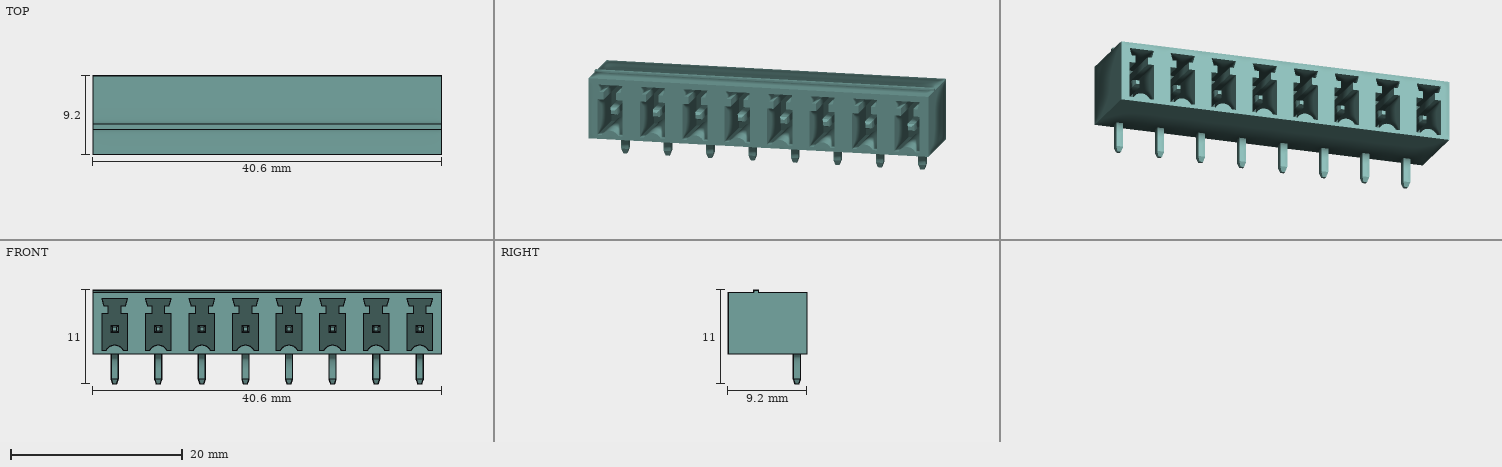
import cadquery as cq

position_count = 8
pitch = 5.08
housing_length = position_count * pitch
housing_depth = 9.2
housing_height = 7.2
front_y = -housing_depth / 2
back_y = housing_depth / 2

rib_height = 0.25
rib_width = 0.6
rib_back_offset = 5.65

socket_width = 3.0
socket_depth = 7.2
socket_floor_z = 0.45
socket_shoulder_z = 4.75
keyway_floor_z = 5.63
socket_top_z = 6.5
neck_width = 1.5
keyway_floor_width = 2.5
floor_bump_width = 2.0
floor_bump_height = 0.6

pin_width = 0.85
pin_tip_width = 0.45
pin_tip_length = 0.6
pin_axis_z = 2.93
pin_recess = 1.4
leg_back_offset = 1.2
leg_protrusion = 3.5
leg_y = back_y - leg_back_offset


def make_housing():
    """Plain block with the full-length rib on its top face."""
    block = cq.Workplane("XY").box(
        housing_length, housing_depth, housing_height, centered=(True, True, False)
    )
    rib = (
        cq.Workplane("XY")
        .box(housing_length, rib_width, housing_height + rib_height, centered=(True, True, False))
        .translate((0, back_y - rib_back_offset - rib_width / 2, 0))
    )
    return block.union(rib)


def make_socket():
    """Cavity for one position: rectangular chamber, neck, dovetail keyway and arched floor."""
    half_socket = socket_width / 2
    half_neck = neck_width / 2
    half_keyway = keyway_floor_width / 2
    half_bump = floor_bump_width / 2
    return (
        cq.Workplane("XZ", origin=(0, front_y, 0))
        .moveTo(-half_socket, socket_floor_z)
        .lineTo(-half_bump, socket_floor_z)
        .threePointArc((0, socket_floor_z + floor_bump_height), (half_bump, socket_floor_z))
        .lineTo(half_socket, socket_floor_z)
        .lineTo(half_socket, socket_shoulder_z)
        .lineTo(half_neck, socket_shoulder_z)
        .lineTo(half_neck, keyway_floor_z)
        .lineTo(half_keyway, keyway_floor_z)
        .lineTo(half_socket, socket_top_z)
        .lineTo(-half_socket, socket_top_z)
        .lineTo(-half_keyway, keyway_floor_z)
        .lineTo(-half_neck, keyway_floor_z)
        .lineTo(-half_neck, socket_shoulder_z)
        .lineTo(-half_socket, socket_shoulder_z)
        .close()
        .extrude(-socket_depth)
    )


def make_tapered_bar(length):
    """Square bar rising along +Z from its tapered tip at Z = 0."""
    tip = (
        cq.Workplane("XY")
        .rect(pin_tip_width, pin_tip_width)
        .workplane(offset=pin_tip_length)
        .rect(pin_width, pin_width)
        .loft(ruled=True)
    )
    shank = (
        cq.Workplane("XY", origin=(0, 0, pin_tip_length))
        .rect(pin_width, pin_width)
        .extrude(length - pin_tip_length)
    )
    return tip.union(shank)


def make_pin():
    """Contact pin along Y joined to the solder leg pointing down."""
    contact_tip_y = front_y + pin_recess
    contact_length = leg_y + pin_width / 2 - contact_tip_y
    contact = (
        make_tapered_bar(contact_length)
        .rotate((0, 0, 0), (1, 0, 0), -90)
        .translate((0, contact_tip_y, pin_axis_z))
    )
    leg_length = leg_protrusion + pin_axis_z + pin_width / 2
    leg = make_tapered_bar(leg_length).translate((0, leg_y, -leg_protrusion))
    return contact.union(leg)


position_centres = [
    ((index - (position_count - 1) / 2) * pitch, 0, 0) for index in range(position_count)
]
socket = make_socket()
pin = make_pin()

result = make_housing()
for centre in position_centres:
    result = result.cut(socket.translate(centre))
    result = result.union(pin.translate(centre))